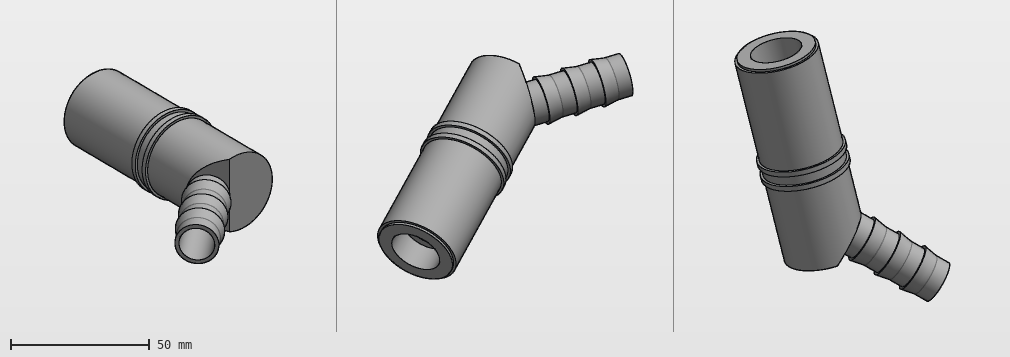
import cadquery as cq
import math

overall_length = 108.9
tube_diameter = 31.0
tube_length = 82.1
spigot_diameter = 29.1
spigot_length = 1.0
corner_cut = 11.2
socket_diameter = 19.0
socket_depth = 10.0
bore_diameter = 13.0

bend_angle = 45.0
tail_diameter = 16.0
barb_diameter = 18.0
barb_count = 3

ring_diameter = 33.0
ring_width = 2.0
first_ring_x = 41.1
ring_pitch = 5.9
ring_count = 2

bend_cos = math.cos(math.radians(bend_angle))
bend_sin = math.sin(math.radians(bend_angle))
cut_face_x = tube_length - corner_cut / 2
cut_face_y = -tube_diameter / 2 + corner_cut / 2
tail_start = -cut_face_y / bend_sin
bend_x = cut_face_x - tail_start * bend_cos
tail_length = (overall_length - cut_face_x - tail_diameter / 2 * bend_sin) / bend_cos
tail_section = tail_length / (2 * barb_count + 1)


def cylinder_along_x(start_x, length, diameter):
    """Solid cylinder on the tube axis."""
    return cq.Workplane("YZ", origin=(start_x, 0, 0)).circle(diameter / 2).extrude(length)


def turn_onto_tail(shape):
    """Move a shape from the X axis onto the tail axis, with X = 0 going to the bend point."""
    return shape.rotate((0, 0, 0), (0, 0, 1), -bend_angle).translate((bend_x, 0, 0))


def tube_blank():
    """Stepped cylinder with one corner of its far end cut off square to the tail."""
    rim = cylinder_along_x(0, spigot_length, spigot_diameter)
    barrel = cylinder_along_x(spigot_length, tube_length - spigot_length, tube_diameter)
    corner = (
        cq.Workplane("XY")
        .moveTo(tube_length, -tube_diameter / 2)
        .lineTo(tube_length, -tube_diameter / 2 + corner_cut)
        .lineTo(tube_length - corner_cut, -tube_diameter / 2)
        .close()
        .extrude(tube_diameter / 2, both=True)
    )
    return rim.union(barrel).cut(corner)


def hose_tail():
    """Pipe whose barbs rise in a step and taper off towards the tip.

    Its root is buried in the tube so that the two join through the cut face.
    """
    pipe_radius = tail_diameter / 2
    profile = cq.Workplane("XY").lineTo(0, pipe_radius)
    for barb in range(barb_count):
        barb_start = tail_start + (2 * barb + 1) * tail_section
        profile = (
            profile.lineTo(barb_start, pipe_radius)
            .lineTo(barb_start, barb_diameter / 2)
            .lineTo(barb_start + tail_section, pipe_radius)
        )
    tip = tail_start + tail_length
    profile = profile.lineTo(tip, pipe_radius).lineTo(tip, 0).close()
    return turn_onto_tail(profile.revolve(360, (0, 0, 0), (1, 0, 0)))


def bent_bore():
    """Round passage along both axes, mitred at the bend point."""
    path = (
        cq.Workplane("XY")
        .lineTo(bend_x, 0)
        .lineTo(
            bend_x + (tail_start + tail_length) * bend_cos,
            -(tail_start + tail_length) * bend_sin,
        )
    )
    return cq.Workplane("YZ").circle(bore_diameter / 2).sweep(path, transition="right")


def make_connector():
    """Tube and hose tail in one piece, hollow from end to end."""
    socket = cylinder_along_x(0, socket_depth, socket_diameter)
    return tube_blank().union(hose_tail()).cut(bent_bore()).cut(socket)


def make_ring(start_x):
    """Flat sealing ring seated on the outside of the tube."""
    return (
        cq.Workplane("YZ", origin=(start_x, 0, 0))
        .circle(ring_diameter / 2)
        .circle(tube_diameter / 2)
        .extrude(ring_width)
    )


connector = make_connector()
rings = [make_ring(first_ring_x + index * ring_pitch) for index in range(ring_count)]

result = cq.Compound.makeCompound([connector.val(), *[ring.val() for ring in rings]])